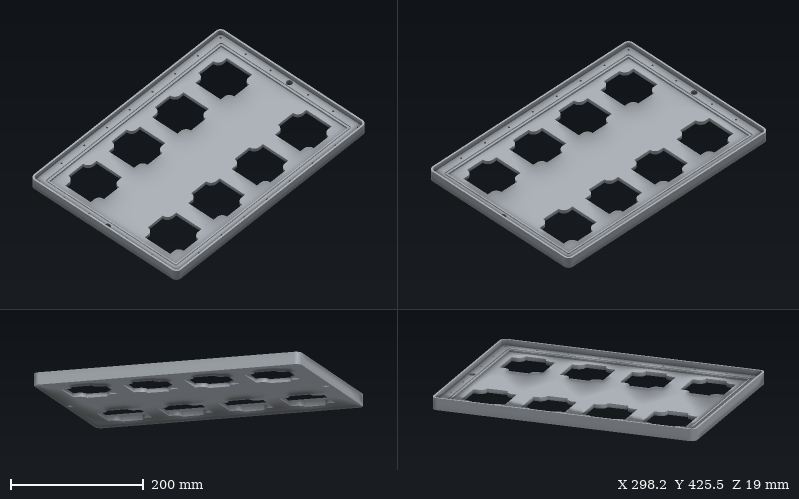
import cadquery as cq

width = 298.2
length = 425.5
height = 19.0
corner_radius = 9.5
rim_thickness = 3.0

ledge_level = 9.8
floor_level = 6.5

groove_inset = 15.7
groove_width = 2.5
groove_depth = 1.5
groove_corner_radius = 4.3
floor_inset = 20.5

hole_inset = 9.5
screw_diameter = 3.5
screw_depth = 5.0
screws_per_side = 9
screw_pitch = (length - 2 * hole_inset) / (screws_per_side - 1)
screws_beside_each_corner = 2
dowel_diameter = 10.5

window_width = 72.8
window_length = 70.0
pad_width = 10.5
pad_length = 18.5
pad_radius = 10.0
window_column_spacing = 161.5
window_pitch = 97.0
window_columns = 2
window_rows = 4


def inset_block(inset, radius, bottom, top):
    """Block between two levels, set in equally all round; a zero radius leaves its corners sharp."""
    block = cq.Workplane("XY").workplane(offset=bottom)
    block = block.rect(width - 2 * inset, length - 2 * inset).extrude(top - bottom)
    return block.edges("|Z").fillet(radius) if radius > 0 else block


def tray_body():
    body = inset_block(0, corner_radius, 0, height)
    ledge_pocket = inset_block(rim_thickness, corner_radius - rim_thickness, ledge_level, height)
    floor_pocket = inset_block(floor_inset, 0, floor_level, ledge_level)
    return body.cut(ledge_pocket).cut(floor_pocket)


def sealing_groove():
    groove_floor = ledge_level - groove_depth
    outer = inset_block(groove_inset, groove_corner_radius, groove_floor, ledge_level)
    inner = inset_block(
        groove_inset + groove_width, groove_corner_radius - groove_width, groove_floor, ledge_level
    )
    return outer.cut(inner)


def screw_positions():
    """Positions along both long sides, then the extra ones along both ends."""
    side_x = width / 2 - hole_inset
    end_y = length / 2 - hole_inset
    sides = [
        (side * side_x, end_y - row * screw_pitch)
        for side in (-1, 1)
        for row in range(screws_per_side)
    ]
    ends = [
        (side * (side_x - step * screw_pitch), end * end_y)
        for side in (-1, 1)
        for end in (-1, 1)
        for step in range(1, screws_beside_each_corner + 1)
    ]
    return sides + ends


def screw_holes():
    plane = cq.Workplane("XY").workplane(offset=ledge_level - screw_depth)
    return plane.pushPoints(screw_positions()).circle(screw_diameter / 2).extrude(screw_depth)


def dowel_holes():
    end_y = length / 2 - hole_inset
    plane = cq.Workplane("XY").pushPoints([(0, -end_y), (0, end_y)])
    return plane.circle(dowel_diameter / 2).extrude(ledge_level)


def windows():
    opening = cq.Workplane("XY").rect(window_width, window_length).extrude(floor_level)
    pads = (
        cq.Workplane("XY")
        .rect(window_width, window_length, forConstruction=True)
        .vertices()
        .rect(2 * pad_width, 2 * pad_length)
        .extrude(floor_level)
        .edges("|Z")
        .fillet(pad_radius)
    )
    opening = opening.cut(pads)
    return (
        cq.Workplane("XY")
        .rarray(window_column_spacing, window_pitch, window_columns, window_rows)
        .eachpoint(opening.val(), combine=True)
    )


result = tray_body()
for cutter in (sealing_groove(), screw_holes(), dowel_holes(), windows()):
    result = result.cut(cutter)